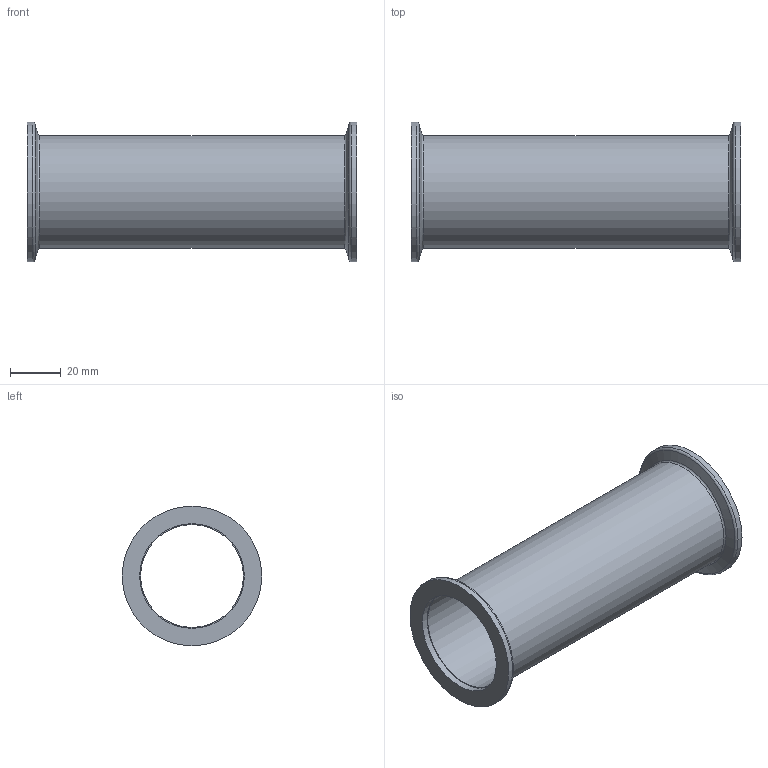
import cadquery as cq
import math

length = 130.0
flange_radius = 55.0 / 2
tube_radius = 44.5 / 2
bore_radius = 40.5 / 2

recess_radius = 41.2 / 2
recess_depth = 2.6
rim_width = 2.2
rim_fillet = 1.0
foot_fillet = 0.8
clamp_angle = math.radians(15)

fillet_reach = math.cos(clamp_angle)
fillet_drop = 1 - math.sin(clamp_angle)

cone_top_x = rim_width + rim_fillet * fillet_reach
cone_top_radius = flange_radius - rim_fillet * fillet_drop
cone_foot_radius = tube_radius + foot_fillet * fillet_drop
cone_foot_x = cone_top_x + (cone_top_radius - cone_foot_radius) * math.tan(clamp_angle)
flange_width = cone_foot_x + foot_fillet * fillet_reach


def fillet_middle(center_x, center_radius, fillet_radius, side):
    """Point halfway along a fillet arc; side is 1 for the rim and -1 for the foot."""
    middle_angle = (math.pi / 2 + clamp_angle) / 2
    return (
        center_x + side * fillet_radius * math.cos(middle_angle),
        center_radius + side * fillet_radius * math.sin(middle_angle),
    )


def make_flange():
    """Revolve the solid flange at the -X end, with its foot blending into the tube."""
    rim_middle = fillet_middle(rim_width, flange_radius - rim_fillet, rim_fillet, 1)
    foot_middle = fillet_middle(flange_width, tube_radius + foot_fillet, foot_fillet, -1)
    profile = (
        cq.Workplane("XY")
        .lineTo(0, flange_radius)
        .lineTo(rim_width, flange_radius)
        .threePointArc(rim_middle, (cone_top_x, cone_top_radius))
        .lineTo(cone_foot_x, cone_foot_radius)
        .threePointArc(foot_middle, (flange_width, tube_radius))
        .lineTo(flange_width, 0)
        .close()
    )
    return profile.revolve(360, (0, 0, 0), (1, 0, 0)).translate((-length / 2, 0, 0))


def make_cylinder(radius, start_x, cylinder_length):
    """Cylinder on the X axis, running toward +X from start_x."""
    return cq.Workplane("YZ", origin=(start_x, 0, 0)).circle(radius).extrude(cylinder_length)


result = make_cylinder(tube_radius, flange_width - length / 2, length - 2 * flange_width)
flange = make_flange()
result = result.union(flange).union(flange.mirror("YZ"))

result = result.cut(make_cylinder(bore_radius, -length / 2, length))
for recess_start in (-length / 2, length / 2 - recess_depth):
    result = result.cut(make_cylinder(recess_radius, recess_start, recess_depth))